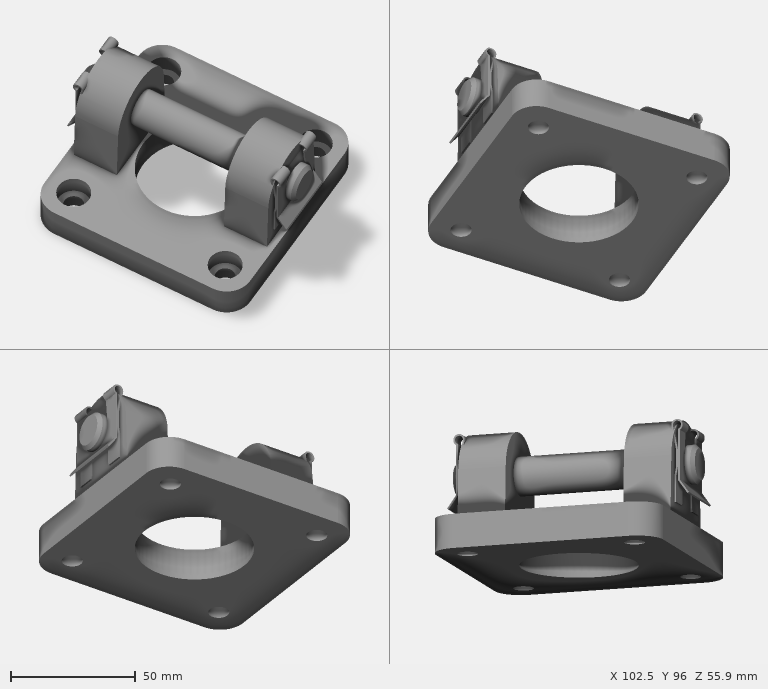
import cadquery as cq
import math

plate_side = 96.0
plate_thickness = 14.0
corner_radius = 11.0
bore_diameter = 48.0
bolt_pitch = 70.7
bolt_hole_diameter = 8.5
counterbore_diameter = 14.0
counterbore_depth = 8.0

pin_length = 102.5
pin_diameter = 16.0
pin_chamfer = 1.5
pin_axis_z = 38.0
groove_diameter = 12.0
groove_depth_in_lug = 0.4

lug_outer_x = 45.1
lug_inner_x = 25.0
lug_top_radius = 17.9
lug_foot_half_width = 19.0

sheet = 0.7
leg_gap = 0.1
clip_width = 27.9
foot_bottom_z = 20.2
foot_top_drop = 6.9
bow_half_height = 3.4
loop_radius = 2.0
loop_z = 51.8
tail_bend_z = 29.1
tail_run = 3.9
tail_drop = 5.4
slot_taper = 6.0
slot_end_z = 50.0
foot_mouth_flare = 0.5
foot_mouth_height = 1.3

foot_x = lug_outer_x + sheet / 2
bow_x = foot_x + sheet
outer_leg_x = bow_x + sheet + leg_gap
leg_split_x = bow_x + (sheet + leg_gap) / 2
groove_outer_x = outer_leg_x - sheet / 2
groove_inner_x = lug_outer_x - groove_depth_in_lug


def x_cylinder(diameter, start_x, end_x):
    """Cylinder on the pin axis."""
    plane = cq.Workplane("YZ", origin=(start_x, 0, pin_axis_z))
    return plane.circle(diameter / 2).extrude(end_x - start_x)


def make_plate():
    plate = cq.Workplane("XY").rect(plate_side, plate_side).extrude(plate_thickness)
    plate = plate.edges("|Z").fillet(corner_radius)
    plate = plate.faces(">Z").workplane().hole(bore_diameter)
    bolts = plate.faces(">Z").workplane().rect(bolt_pitch, bolt_pitch, forConstruction=True).vertices()
    return bolts.cboreHole(bolt_hole_diameter, counterbore_diameter, counterbore_depth)


def make_lug(inner_x):
    """Lug with straight flanks tangent to a round top that is concentric with the pin."""
    height = pin_axis_z - plate_thickness
    reach = math.hypot(lug_foot_half_width, height)
    tangent_angle = math.acos(lug_top_radius / reach) - math.atan2(height, lug_foot_half_width)
    tangent_y = lug_top_radius * math.cos(tangent_angle)
    tangent_z = pin_axis_z + lug_top_radius * math.sin(tangent_angle)
    profile = (
        cq.Workplane("YZ", origin=(inner_x, 0, 0))
        .moveTo(-lug_foot_half_width, plate_thickness)
        .lineTo(lug_foot_half_width, plate_thickness)
        .lineTo(tangent_y, tangent_z)
        .threePointArc((0, pin_axis_z + lug_top_radius), (-tangent_y, tangent_z))
        .close()
    )
    return profile.extrude(lug_outer_x - lug_inner_x)


def make_pin():
    pin = x_cylinder(pin_diameter, -pin_length / 2, pin_length / 2)
    pin = pin.faces("<X or >X").chamfer(pin_chamfer)
    for start_x, end_x in ((-groove_outer_x, -groove_inner_x), (groove_inner_x, groove_outer_x)):
        ring = x_cylinder(pin_diameter, start_x, end_x).cut(x_cylinder(groove_diameter, start_x, end_x))
        pin = pin.cut(ring)
    return pin


def make_bent_sheet():
    """Sheet of the clip at -X, without slots, from its foot over the loop to its tail."""
    lean = math.atan2(bow_x - foot_x, foot_top_drop - bow_half_height)
    knee_z = pin_axis_z + bow_half_height
    tangent_z = loop_z - loop_radius * math.sin(lean)
    tangent_x = -bow_x + (tangent_z - knee_z) * math.tan(lean)
    loop_x = tangent_x - loop_radius * math.cos(lean)
    outer_leg_top_z = loop_z - math.sqrt(loop_radius**2 - (outer_leg_x + loop_x) ** 2)
    middle_line = (
        cq.Workplane("XZ")
        .moveTo(-foot_x, foot_bottom_z)
        .lineTo(-foot_x, pin_axis_z - foot_top_drop)
        .lineTo(-bow_x, pin_axis_z - bow_half_height)
        .lineTo(-bow_x, knee_z)
        .lineTo(tangent_x, tangent_z)
        .threePointArc((loop_x, loop_z + loop_radius), (-outer_leg_x, outer_leg_top_z))
        .lineTo(-outer_leg_x, tail_bend_z)
        .lineTo(-outer_leg_x - tail_run, tail_bend_z - tail_drop)
        .wire()
    )
    foot_end = cq.Workplane("XY", origin=(-foot_x, 0, foot_bottom_z)).rect(sheet, clip_width)
    return foot_end.sweep(middle_line, transition="right")


def make_foot_slot():
    """Slot in the inner leg that straddles the pin groove and flares at its mouth."""
    half_width = groove_diameter / 2
    mouth_half_width = half_width + foot_mouth_flare
    mouth_top_z = foot_bottom_z + foot_mouth_height
    slot = (
        cq.Workplane("YZ", origin=(-leg_split_x, 0, 0))
        .moveTo(-mouth_half_width, foot_bottom_z)
        .lineTo(mouth_half_width, foot_bottom_z)
        .lineTo(half_width, mouth_top_z)
        .lineTo(half_width, pin_axis_z)
        .threePointArc((0, pin_axis_z + half_width), (-half_width, pin_axis_z))
        .lineTo(-half_width, mouth_top_z)
        .close()
    )
    return slot.extrude(leg_split_x - groove_inner_x)


def make_keyhole():
    """Pin hole in the outer leg with a slot that narrows upward and runs over the loop."""
    taper = math.radians(slot_taper)
    pin_radius = pin_diameter / 2
    tangent_y = pin_radius * math.cos(taper)
    tangent_z = pin_axis_z + pin_radius * math.sin(taper)
    top_z = loop_z + loop_radius + sheet
    top_y = tangent_y - (top_z - tangent_z) * math.tan(taper)
    start_x = -outer_leg_x - loop_radius - sheet
    outline = (
        cq.Workplane("YZ", origin=(start_x, 0, 0))
        .moveTo(tangent_y, tangent_z)
        .lineTo(top_y, top_z)
        .lineTo(-top_y, top_z)
        .lineTo(-tangent_y, tangent_z)
        .threePointArc((0, pin_axis_z - pin_radius), (tangent_y, tangent_z))
        .close()
    )
    keyhole = outline.extrude(-lug_inner_x - start_x)
    uncut_leg = cq.Workplane("XY").box(
        leg_split_x - lug_inner_x, clip_width, slot_end_z, centered=(False, True, False)
    )
    return keyhole.cut(uncut_leg.translate((-leg_split_x, 0, 0)))


def make_clip(turn):
    """Clip at -X, turned about Z to its end of the pin."""
    clip = make_bent_sheet().cut(make_foot_slot()).cut(make_keyhole())
    return clip.rotate((0, 0, 0), (0, 0, 1), turn)


pin = make_pin()
clips = [make_clip(turn) for turn in (0, 180)]

housing = make_plate().union(make_lug(-lug_outer_x)).union(make_lug(lug_inner_x))
housing = housing.cut(x_cylinder(pin_diameter, -lug_outer_x, lug_outer_x))
for clip in clips:
    housing = housing.cut(clip)

result = cq.Compound.makeCompound([housing.val(), pin.val(), *[clip.val() for clip in clips]])